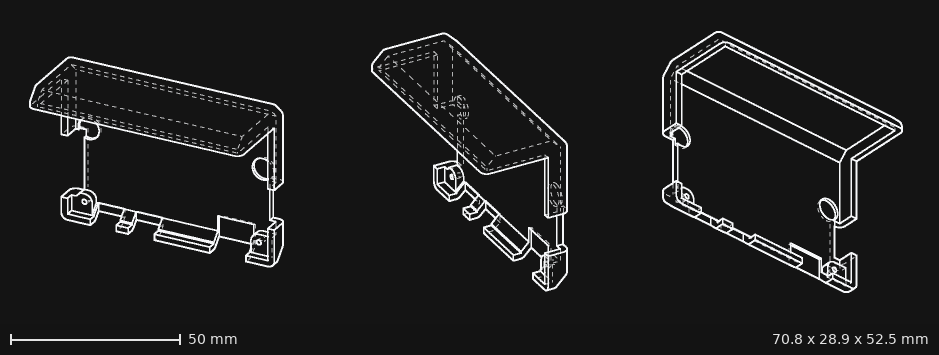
import cadquery as cq
import math


width = 70.8
lid_depth = 28.9
height = 52.5

wall = 2.1
outer_bevel = 4.2
edge_radius = wall
inner_bevel = outer_bevel - wall * (2 - math.sqrt(2))
wall_depth = 7.3
lid_height = 6.3
inner_slope_top = wall + inner_bevel

left_notch_reach = 5.0
left_notch_bottom = 7.15
left_notch_top = 27.75
right_notch_reach = 4.1
right_notch_bottom = 12.5
right_notch_top = 25.65

boss_depth = 4.75
boss_radius = 2.6
screw_diameter = 1.5
screw_x_left = 6.45
screw_spacing = 57.9
screw_z = 5.9
boss_top = screw_z + boss_radius
recess_diameter = 7.0
recess_z = 28.8
recess_floor_depth = 1.05

bottom_openings = [(9.7, 18.3), (22.25, 30.95)]
opening_floor_depth = 1.9
connector_opening = (49.4, 61.4)
connector_floor_depth = 1.35
connector_opening_top = 9.9

floor_height = 2.0

screw_xs = (screw_x_left, screw_x_left + screw_spacing)


def slab(x_start, x_end, depth_start, depth_end, z_start, z_end):
    """Box given by its X, depth and Z ranges."""
    size = (x_end - x_start, depth_end - depth_start, z_end - z_start)
    return cq.Workplane("XY").box(*size, centered=False).translate((x_start, -depth_end, z_start))


def beveled_block(inset, bevel):
    """The envelope shrunk by inset, with its four lengthwise edges beveled."""
    block = slab(inset, width - inset, inset, lid_depth - inset, inset, height - inset)
    return block.edges("|X").chamfer(bevel)


def forward_prism(outline, depth_start, depth_end):
    """Extrude a closed XZ outline forward between two depths."""
    return outline.extrude(depth_end - depth_start).translate((0, -depth_start, 0))


def cylinder(x, z, diameter, depth_start, depth_end):
    """Cylinder along Y centred on (x, z)."""
    outline = cq.Workplane("XZ").center(x, z).circle(diameter / 2)
    return forward_prism(outline, depth_start, depth_end)


def boss(screw_x, wall_x):
    """Corner pad from the side wall to a rounded upper inner corner, down to the floor."""
    inward = math.copysign(1, screw_x - wall_x)
    inner_x = screw_x + inward * boss_radius
    diagonal = boss_radius * math.sqrt(0.5)
    outline = (
        cq.Workplane("XZ")
        .moveTo(wall_x, floor_height)
        .lineTo(wall_x, boss_top)
        .lineTo(screw_x, boss_top)
        .threePointArc((screw_x + inward * diagonal, screw_z + diagonal), (inner_x, screw_z))
        .lineTo(inner_x, floor_height)
        .close()
    )
    return forward_prism(outline, 0, boss_depth)


outer = beveled_block(0, outer_bevel).edges().fillet(edge_radius)
outer = outer.cut(slab(0, width, wall_depth, lid_depth, 0, height - lid_height))

cavity = beveled_block(wall, inner_bevel)
foot_groove = slab(wall, width - wall, boss_depth, wall_depth, floor_height, inner_slope_top)
body = outer.cut(cavity).cut(foot_groove)

for screw_x, wall_x in zip(screw_xs, (wall, width - wall)):
    body = body.union(boss(screw_x, wall_x).intersect(outer))

for screw_x in screw_xs:
    body = body.cut(cylinder(screw_x, screw_z, screw_diameter, wall, boss_depth))
    body = body.cut(cylinder(screw_x, recess_z, recess_diameter, recess_floor_depth, wall))

slope_rise = boss_top - left_notch_bottom
left_notch = cq.Workplane("XZ").polyline([
    (0, left_notch_bottom),
    (left_notch_reach - slope_rise, left_notch_bottom),
    (left_notch_reach, boss_top),
    (left_notch_reach, left_notch_top),
    (0, left_notch_top),
]).close()
body = body.cut(forward_prism(left_notch, 0, wall_depth))

right_notch_x = width - right_notch_reach
body = body.cut(slab(right_notch_x, width, 0, wall_depth, right_notch_bottom, right_notch_top))

for x_start, x_end in bottom_openings:
    body = body.cut(slab(x_start, x_end, opening_floor_depth, wall_depth, 0, inner_slope_top))

body = body.cut(
    slab(*connector_opening, connector_floor_depth, wall_depth, 0, connector_opening_top)
)

result = body